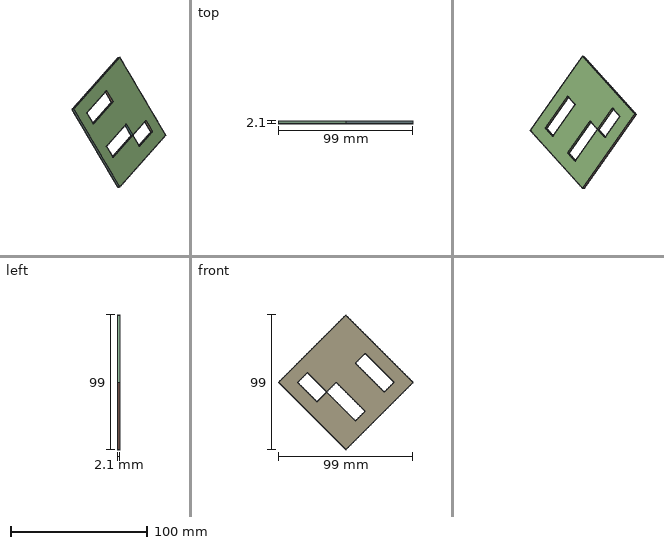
import cadquery as cq
import math

diagonal = 99.0
thickness = 2.1
cells_per_side = 7
side = diagonal / math.sqrt(2)
cell = side / cells_per_side

windows = [
    (-1.5, -2.0, 2),
    (1.0, -1.0, 3),
    (1.0, 2.0, 3),
]


def window_cutter(along, across, length):
    """Rectangular through-cutter, one cell wide."""
    return cq.Workplane("XY").box(length * cell, thickness, cell).translate(
        (along * cell, 0, across * cell)
    )


plate = cq.Workplane("XY").box(side, thickness, side)
for along, across, length in windows:
    plate = plate.cut(window_cutter(along, across, length))

result = plate.rotate((0, 0, 0), (0, 1, 0), 45)